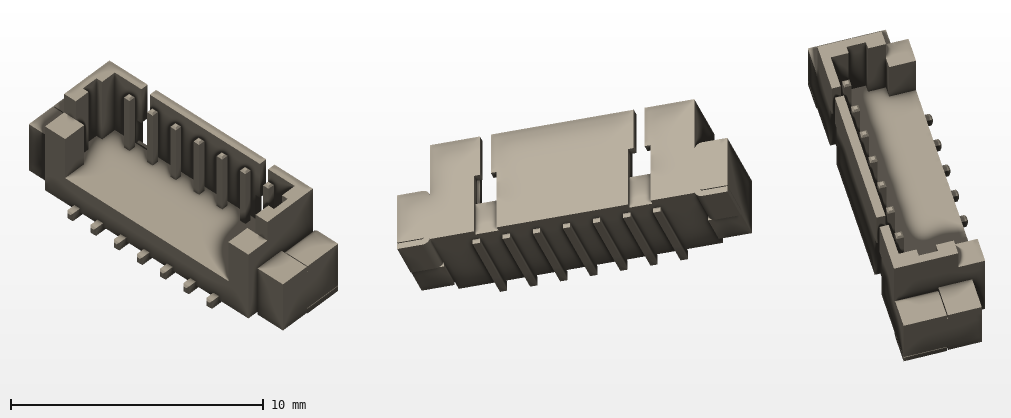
import cadquery as cq


length = 13.7
height = 4.66
housing_length = 10.96
housing_depth = 3.75
housing_bottom = 0.2
floor_top = 1.55

end_wall = 0.63
back_wall = 0.37
end_wall_depth = 2.65
post_width = 1.08
post_top = 3.66

groove_depth = 0.3
groove_start = 1.11
groove_width = 0.8

opening_offset = 3.19
slot_width = 0.45
recess_width = 0.95
recess_depth = 0.23
recess_top = 2.84
sill_top = 1.65

pin_count = 7
pin_row_length = 7.5
pin_width = 0.3
pin_row_depth = 0.71
pin_top = 4.32
pin_taper = 0.075
tail_reach = 4.23
tail_height = 0.41

ear_depth = 3.22
ear_bottom = 0.05
ear_top = 2.55
clip_depth = 1.78
clip_gap = 0.04
clip_thickness = 0.26
clip_bend = 0.33

pin_pitch = pin_row_length / (pin_count - 1)
half_housing = housing_length / 2
clip_inner_bend = clip_bend - clip_thickness


def block(x_min, x_max, depth_min, depth_max, z_min, z_max):
    """Box between two X limits, two depths behind the back face and two heights."""
    return cq.Workplane("XY").box(
        x_max - x_min, depth_max - depth_min, z_max - z_min, centered=False
    ).translate((x_min, -depth_max, z_min))


def centred_block(x_middle, width, depth_min, depth_max, z_min, z_max):
    """Box placed by the middle of its width."""
    return block(x_middle - width / 2, x_middle + width / 2, depth_min, depth_max, z_min, z_max)


def both_ends(right_side):
    """The given shape together with its mirror image at the -X end."""
    return right_side.union(right_side.mirror("YZ"))


def make_shell():
    """Floor, back wall, end walls and front posts."""
    floor = centred_block(0, housing_length, 0, housing_depth, housing_bottom, floor_top)
    back = centred_block(0, housing_length, 0, back_wall, housing_bottom, height)
    end = block(half_housing - end_wall, half_housing, 0, end_wall_depth, housing_bottom, height)
    post = block(
        half_housing - post_width, half_housing, end_wall_depth, housing_depth, housing_bottom, post_top
    )
    return floor.union(back).union(both_ends(end.union(post)))


def make_groove():
    """Vertical groove on the inner face of the +X end wall."""
    inner_face = half_housing - end_wall
    return block(
        inner_face, inner_face + groove_depth, groove_start, groove_start + groove_width, floor_top, height
    )


def make_latch_opening():
    """Narrow slot above a wide window, with a recess in the back face running down to the bottom."""
    slot = centred_block(opening_offset, slot_width, 0, back_wall, sill_top, height)
    window = centred_block(opening_offset, recess_width, 0, back_wall, sill_top, recess_top)
    recess = centred_block(opening_offset, recess_width, 0, recess_depth, housing_bottom, recess_top)
    return slot.union(window).union(recess)


def make_clip():
    """U-shaped strip at the +X end, open outward, with its web against the housing wall."""
    outer = block(half_housing, length / 2, 0, clip_depth, 0, ear_top).edges("|Y and <X").fillet(clip_bend)
    opening = block(
        half_housing + clip_thickness, length / 2, 0, clip_depth, clip_thickness, ear_top - clip_thickness
    )
    return outer.cut(opening.edges("|Y and <X").fillet(clip_inner_bend))


def make_ear():
    """+X ear: solid front part, with a tongue behind it that fills the clip but for a gap below."""
    front = block(half_housing, length / 2, clip_depth + clip_gap, ear_depth, ear_bottom, ear_top)
    tongue = block(
        half_housing + clip_thickness,
        length / 2,
        0,
        clip_depth + clip_gap,
        clip_thickness + clip_gap,
        ear_top - clip_thickness,
    )
    return front.union(tongue.edges("|Y and <X").fillet(clip_inner_bend))


def make_pin(x_middle):
    """L-shaped pin with a tapered tip and a tapered solder tail."""
    upright = centred_block(
        x_middle, pin_width, pin_row_depth - pin_width / 2, pin_row_depth + pin_width / 2, 0, pin_top
    )
    tail = centred_block(x_middle, pin_width, pin_row_depth, tail_reach, 0, tail_height)
    return upright.faces(">Z").chamfer(pin_taper).union(tail.faces("<Y").chamfer(pin_taper))


def make_housing():
    """Shell with its ears, grooves, latch openings and moulded-in pins."""
    body = make_shell().cut(both_ends(make_groove())).cut(both_ends(make_latch_opening()))
    body = body.union(both_ends(make_ear()))
    for index in range(pin_count):
        body = body.union(make_pin(index * pin_pitch - pin_row_length / 2))
    return body


housing = make_housing()
right_clip = make_clip()
clips = [right_clip, right_clip.mirror("YZ")]

result = cq.Compound.makeCompound([housing.val(), *[clip.val() for clip in clips]])